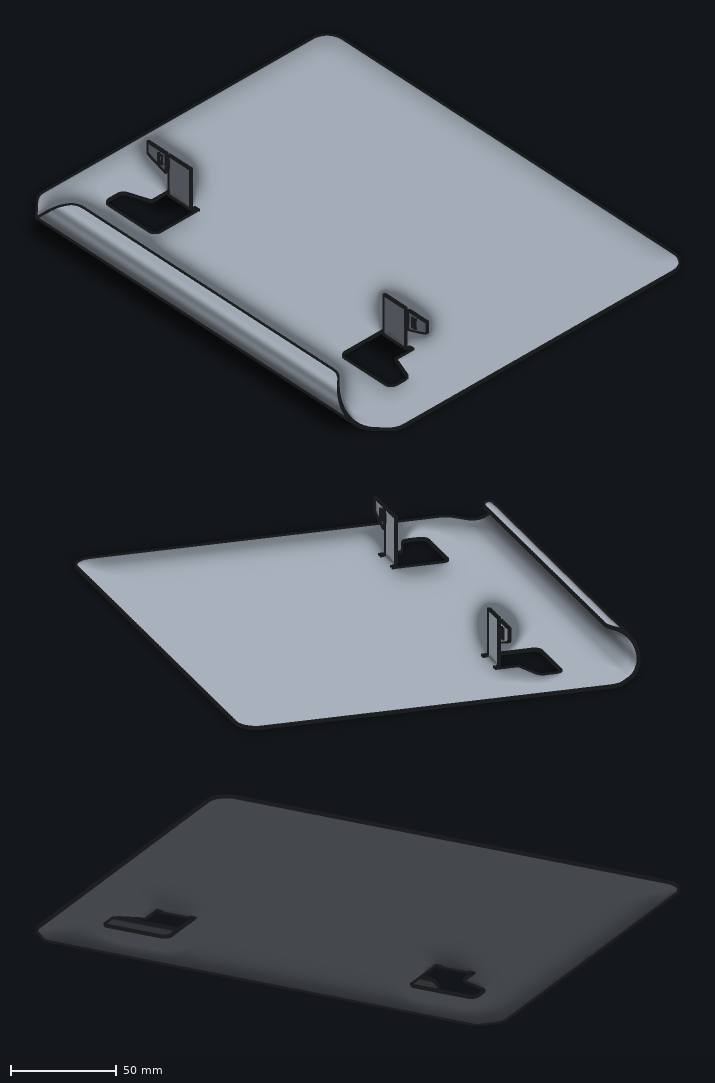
import cadquery as cq
import math


width = 250.0
length = 206.0
height = 25.0
sheet = 1.0
corner_radius = 10.0

curl_radius = 9.0
curl_inner = curl_radius - sheet
lip_flat = 1.8
corner_chamfer = 34.5

half_width = width / 2
back_y = length - curl_radius
curl_length = math.pi * curl_inner
lip_half_width = half_width - corner_chamfer
curl_end_half_width = lip_half_width + lip_flat
curl_start_half_width = curl_end_half_width + curl_length
chamfer_start_y = half_width - curl_start_half_width

bend_y = 54.8
bend_inner = 1.0
bend_outer = bend_inner + sheet
tab_front_y = bend_y - bend_outer
tab_inner_x = 67.0
tab_root_x = 82.0
tab_outer_x = 96.8
slit_width = 2.0
neck_bottom = 17.5
neck_top = 21.5
neck_thickness = sheet / 2
ear_bottom = 13.5
ear_slope = math.tan(math.radians(20))
ear_radius = 1.5
slot_x = 88.0
slot_width = 2.5
slot_bottom = 17.0
slot_top = 22.2

gap = 2.8
relief_depth = 1.0
opening_front_y = 27.0
opening_step_y = 44.2
opening_radius = 3.8
relief_y = bend_y + relief_depth
opening_inner_x = tab_inner_x - gap
opening_neck_x = tab_root_x + gap
opening_outer_x = tab_outer_x + gap
opening_side_y = opening_step_y - (opening_outer_x - opening_neck_x) * ear_slope


def half_plate():
    """Flat right half of the plate up to the start of the curl."""
    plate = (
        cq.Workplane("XY")
        .polyline([
            (0, 0),
            (curl_start_half_width, 0),
            (half_width, chamfer_start_y),
            (half_width, back_y),
            (0, back_y),
        ])
        .close()
        .extrude(sheet)
    )
    return plate.edges("|Z and >X").fillet(corner_radius)


def curl_edge(radius):
    """Helical cut line at a given radius; it runs a little past both ends of the curl."""
    overrun = 0.1
    curl_edge_points = 60

    def point(share):
        angle = -overrun + share * (math.pi + 2 * overrun)
        return (
            curl_start_half_width - curl_inner * angle,
            -radius * math.sin(angle),
            curl_radius - radius * math.cos(angle),
        )

    return cq.Workplane("XY").parametricCurve(point, N=curl_edge_points, makeWire=False).val()


def half_curl():
    """Half-round curl trimmed by the helical side cut."""
    margin = 1.2
    tube = (
        cq.Workplane("YZ")
        .lineTo(0, sheet)
        .threePointArc((-curl_inner, curl_radius), (0, 2 * curl_radius - sheet))
        .lineTo(0, 2 * curl_radius)
        .threePointArc((-curl_radius, curl_radius), (0, 0))
        .close()
        .extrude(half_width)
    )
    side_cut = cq.Face.makeRuledSurface(
        curl_edge(curl_inner - margin), curl_edge(curl_radius + margin)
    )
    pieces = tube.val().split(side_cut).Solids()
    return cq.Workplane(min(pieces, key=lambda piece: piece.Center().x))


def half_lip():
    """Flat end of the curl."""
    return (
        cq.Workplane("XY", origin=(0, 0, 2 * curl_radius - sheet))
        .polyline([
            (0, 0),
            (curl_end_half_width, 0),
            (lip_half_width, lip_flat),
            (0, lip_flat),
        ])
        .close()
        .extrude(sheet)
    )


def lip_corner():
    """Waste outside the rounded corner between the lip and the 45 degree side cut."""
    half_turn = math.radians(45) / 2
    tangent = corner_radius * math.tan(half_turn)
    diagonal = tangent * math.sqrt(0.5)
    lip_x = lip_half_width - tangent
    side_x = lip_half_width + diagonal
    side_y = lip_flat - diagonal
    mid_x = lip_x + corner_radius * math.sin(half_turn)
    mid_y = lip_flat - corner_radius * (1 - math.cos(half_turn))
    above_curl_axis = curl_radius * 1.5
    return (
        cq.Workplane("XY", origin=(0, 0, above_curl_axis))
        .moveTo(lip_x, lip_flat)
        .threePointArc((mid_x, mid_y), (side_x, side_y))
        .lineTo(side_x + tangent, lip_flat)
        .close()
        .extrude(curl_radius)
    )


def opening():
    """Hole around the tab, with a relief notch at each end of the bend."""
    hole = (
        cq.Workplane("XY")
        .polyline([
            (opening_inner_x, opening_front_y),
            (opening_outer_x, opening_front_y),
            (opening_outer_x, opening_side_y),
            (opening_neck_x, opening_step_y),
            (opening_neck_x, relief_y),
            (tab_root_x, relief_y),
            (tab_root_x, bend_y),
            (tab_inner_x, bend_y),
            (tab_inner_x, relief_y),
            (opening_inner_x, relief_y),
        ])
        .close()
        .extrude(sheet)
    )
    front_corners = hole.edges("|Z").edges("<Y or >X")
    return front_corners.fillet(opening_radius)


def tab_bend():
    """Quarter-round bend joining the plate to the tab."""
    centre_z = sheet + bend_inner
    diagonal = math.sqrt(0.5)
    return (
        cq.Workplane("YZ", origin=(tab_inner_x, 0, 0))
        .moveTo(bend_y, 0)
        .threePointArc(
            (bend_y - bend_outer * diagonal, centre_z - bend_outer * diagonal),
            (tab_front_y, centre_z),
        )
        .lineTo(tab_front_y + sheet, centre_z)
        .threePointArc(
            (bend_y - bend_inner * diagonal, centre_z - bend_inner * diagonal),
            (bend_y, sheet),
        )
        .close()
        .extrude(tab_root_x - tab_inner_x)
    )


def upright(points, thickness=sheet):
    """Wall with the given (x, z) outline, centred in the thickness of the tab."""
    return (
        cq.Workplane("XZ", origin=(0, tab_front_y + sheet / 2, 0))
        .polyline(points)
        .close()
        .extrude(thickness / 2, both=True)
    )


def upright_box(x_low, x_high, z_low, z_high, thickness=sheet):
    """Rectangular wall centred in the thickness of the tab."""
    corners = [(x_low, z_low), (x_high, z_low), (x_high, z_high), (x_low, z_high)]
    return upright(corners, thickness)


def tab():
    """Upright tab: main leaf, thinned neck and a slotted outer ear."""
    ear_inner_x = tab_root_x + slit_width
    ear_side_z = ear_bottom + (tab_outer_x - ear_inner_x) * ear_slope
    ear = upright([
        (ear_inner_x, ear_bottom),
        (tab_outer_x, ear_side_z),
        (tab_outer_x, height),
        (ear_inner_x, height),
    ])
    ear = ear.edges("|Y").edges(">X").edges("<Z").fillet(ear_radius)
    slot = upright_box(
        slot_x - slot_width / 2, slot_x + slot_width / 2, slot_bottom, slot_top
    )
    leaf = upright_box(tab_inner_x, tab_root_x, sheet + bend_inner, height)
    neck = upright_box(tab_root_x, ear_inner_x, neck_bottom, neck_top, neck_thickness)
    return leaf.union(neck).union(ear.cut(slot)).union(tab_bend())


curled_edge = half_curl().union(half_lip()).cut(lip_corner())
half = half_plate().cut(opening()).union(curled_edge).union(tab())
result = half.union(half.mirror("YZ"))